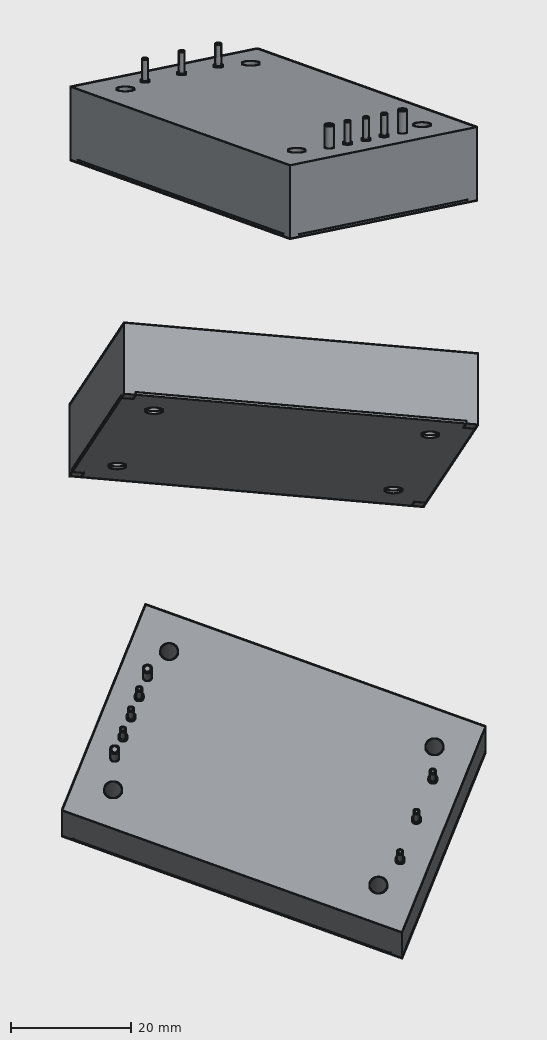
import cadquery as cq

length = 60.6
width = 39.0
total_height = 16.7
pin_height = 4.0
block_height = total_height - pin_height

plate_thickness = 0.5
corner_notch = 2.0

hole_diameter = 2.95
hole_spacing_x = 47.25
hole_spacing_y = 26.2

pin_row_spacing = 50.85
pin_pitch = 3.8
thin_pin_diameter = 1.0
thick_pin_diameter = 1.5
collar_height = 0.2
pin_chamfer = 0.2

thin_pin_positions = [(-pin_row_spacing / 2, step * pin_pitch) for step in (-2, 0, 2)]
thin_pin_positions += [(pin_row_spacing / 2, step * pin_pitch) for step in (-1, 0, 1)]
thick_pin_positions = [(pin_row_spacing / 2, step * pin_pitch) for step in (-2, 2)]


def make_mounting_holes():
    """Four cylinders that cut the mounting holes through the full block height."""
    return (
        cq.Workplane("XY")
        .rect(hole_spacing_x, hole_spacing_y, forConstruction=True)
        .vertices()
        .circle(hole_diameter / 2)
        .extrude(block_height)
    )


def make_plate_blank():
    """Base plate without holes: two crossing rectangles leave the corners open."""
    lengthwise = cq.Workplane("XY").rect(length, width - 2 * corner_notch).extrude(plate_thickness)
    crosswise = cq.Workplane("XY").rect(length - 2 * corner_notch, width).extrude(plate_thickness)
    return lengthwise.union(crosswise).clean()


def make_pin(diameter, position):
    """Pin standing on the block's top face, with a chamfered tip."""
    return (
        cq.Workplane("XY", origin=(*position, block_height))
        .circle(diameter / 2)
        .extrude(pin_height)
        .faces(">Z")
        .chamfer(pin_chamfer)
    )


def make_collar(position):
    """Low collar around the foot of a thin pin, as wide as a thick pin."""
    return (
        cq.Workplane("XY", origin=(*position, block_height))
        .circle(thick_pin_diameter / 2)
        .extrude(collar_height)
    )


def make_housing():
    """Block with its pins, recessed underneath so that the base plate fits flush."""
    block = cq.Workplane("XY").rect(length, width).extrude(block_height)
    block = block.cut(make_plate_blank()).cut(make_mounting_holes())
    for position in thin_pin_positions:
        block = block.union(make_pin(thin_pin_diameter, position)).union(make_collar(position))
    for position in thick_pin_positions:
        block = block.union(make_pin(thick_pin_diameter, position))
    return block


def make_base_plate():
    """Thin cross-shaped plate that closes the underside of the housing."""
    return make_plate_blank().cut(make_mounting_holes())


housing = make_housing()
base_plate = make_base_plate()

result = cq.Compound.makeCompound([housing.val(), base_plate.val()])